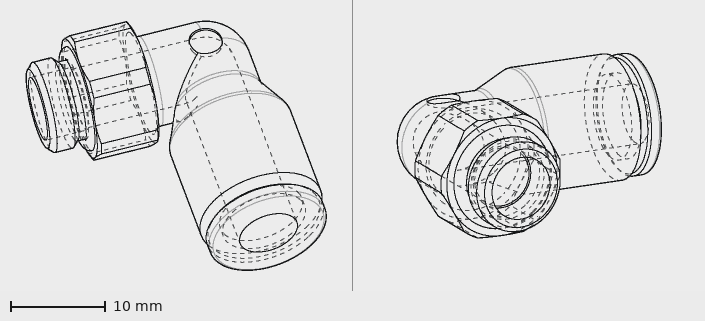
import cadquery as cq
import math


elbow_radius = 4.88
passage_radius = 3.2

arm_end_x = 4.47
cone_angle = math.radians(24.4)
arm_blend_radius = 1.3
body_blend_radius = 1.0
body_radius = 6.75
body_end_x = 19.9

neck_radius = 4.6
collar_radius = 6.48
collar_start_x = 21.0
collar_end_x = 22.58
collar_chamfer = 0.3
collar_round = 0.35

flat_distance = 6.48
hex_corner_radius = 7.02
hex_start = 7.13
hex_end = 13.95
hex_chamfer_length = 0.3
stem_blend_start = 6.2
stem_blend_radius = 1.0

seal_radius = 5.65
groove_radius = 4.3
seal_section_radius = 0.7
seal_centre_radius = seal_radius - seal_section_radius
seal_end = hex_end + seal_section_radius
groove_end = 15.27
thread_radius = 4.9
thread_start = groove_end + thread_radius - groove_radius
thread_chamfer = 0.62
stem_end = 18.5
stem_bore_radius = 3.4

recess_radius = 1.75
recess_floor_z = 4.25


def revolve_x(profile):
    """Turn a profile of (x, radius) points about the X axis."""
    return profile.close().revolve(360, (0, 0, 0), (1, 0, 0))


def revolve_y(profile):
    """Turn a profile of (radius, y) points about the Y axis."""
    return profile.close().revolve(360, (0, 0, 0), (0, 1, 0))


def cylinder_y(radius, start, end):
    """Cylinder on the Y axis between two distances from the elbow centre towards -Y."""
    plane = cq.Workplane("XZ", origin=(0, -start, 0))
    return plane.circle(radius).extrude(end - start)


def make_tube_arm():
    """Round parts along +X: elbow arm, cone, tube body, neck and release collar."""
    cone_start_x = arm_end_x + arm_blend_radius * math.sin(cone_angle)
    cone_start_radius = elbow_radius + arm_blend_radius * (1 - math.cos(cone_angle))
    cone_end_radius = body_radius - body_blend_radius * (1 - math.cos(cone_angle))
    cone_end_x = cone_start_x + (cone_end_radius - cone_start_radius) / math.tan(cone_angle)
    body_start_x = cone_end_x + body_blend_radius * math.sin(cone_angle)
    profile = (
        cq.Workplane("XY")
        .lineTo(0, elbow_radius)
        .lineTo(arm_end_x, elbow_radius)
        .radiusArc((cone_start_x, cone_start_radius), -arm_blend_radius)
        .lineTo(cone_end_x, cone_end_radius)
        .radiusArc((body_start_x, body_radius), body_blend_radius)
        .lineTo(body_end_x, body_radius)
        .lineTo(body_end_x, neck_radius)
        .lineTo(collar_start_x, neck_radius)
        .lineTo(collar_start_x, collar_radius - collar_chamfer)
        .lineTo(collar_start_x + collar_chamfer, collar_radius)
        .lineTo(collar_end_x - collar_round, collar_radius)
        .radiusArc((collar_end_x, collar_radius - collar_round), collar_round)
        .lineTo(collar_end_x, 0)
    )
    return revolve_x(profile)


def make_hexagon():
    """Hexagon with turned corners and chamfered ends."""
    prism = (
        cq.Workplane("XZ", origin=(0, -hex_start, 0))
        .polygon(6, 2 * flat_distance / math.cos(math.pi / 6))
        .extrude(hex_end - hex_start)
    )
    corner_cut = hex_corner_radius - flat_distance
    blank = cylinder_y(hex_corner_radius, hex_start, hex_end)
    blank = blank.faces("<Y or >Y").chamfer(hex_chamfer_length, corner_cut)
    return prism.intersect(blank)


def make_stem():
    """Round parts along -Y: elbow leg, blend into the hexagon, seal, groove and thread."""
    blend_drop = hex_start - stem_blend_start
    blend_growth = stem_blend_radius - math.sqrt(stem_blend_radius**2 - blend_drop**2)
    seal_inset = seal_centre_radius - groove_radius
    seal_inner_edge = hex_end + math.sqrt(seal_section_radius**2 - seal_inset**2)
    profile = (
        cq.Workplane("XY")
        .lineTo(elbow_radius, 0)
        .lineTo(elbow_radius, -stem_blend_start)
        .radiusArc((elbow_radius + blend_growth, -hex_start), -stem_blend_radius)
        .lineTo(seal_radius, -hex_start)
        .lineTo(seal_radius, -hex_end)
        .threePointArc((seal_centre_radius, -seal_end), (groove_radius, -seal_inner_edge))
        .lineTo(groove_radius, -groove_end)
        .lineTo(thread_radius, -thread_start)
        .lineTo(thread_radius, thread_chamfer - stem_end)
        .lineTo(thread_radius - thread_chamfer, -stem_end)
        .lineTo(0, -stem_end)
    )
    return revolve_y(profile)


def make_passage():
    """Bent passage from the collar to the threaded end, widened from the hexagon's outer face onwards."""
    tube_bore = cq.Workplane("YZ").circle(passage_radius).extrude(collar_end_x)
    corner = cq.Workplane("XY").sphere(passage_radius)
    elbow_bore = cylinder_y(passage_radius, 0, stem_end)
    stem_bore = cylinder_y(stem_bore_radius, hex_end, stem_end)
    return tube_bore.union(corner).union(elbow_bore).union(stem_bore)


def make_recess():
    """Flat-floored round cut, opening upwards."""
    plane = cq.Workplane("XY", origin=(0, 0, recess_floor_z))
    return plane.circle(recess_radius).extrude(body_radius - recess_floor_z)


elbow_corner = cq.Workplane("XY").sphere(elbow_radius)
fitting = elbow_corner.union(make_tube_arm()).union(make_stem()).union(make_hexagon())
result = fitting.cut(make_passage()).cut(make_recess())